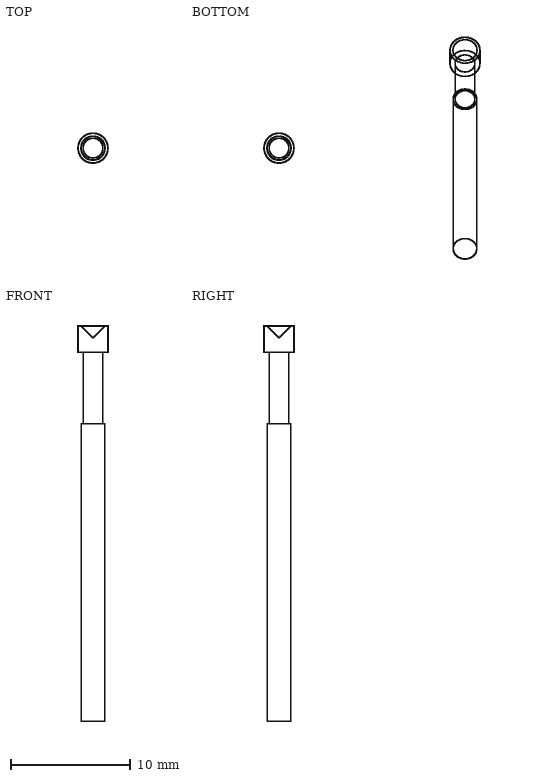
import cadquery as cq

total_length = 33.2
barrel_length = 25.0
head_height = 2.22
stem_length = total_length - barrel_length - head_height

barrel_diameter = 2.0
stem_diameter = 1.65
head_diameter = 2.52

cup_diameter = 2.03
cup_depth = cup_diameter / 2


def make_barrel():
    """Plain cylinder standing on the XY plane."""
    return cq.Workplane("XY").circle(barrel_diameter / 2).extrude(barrel_length)


def make_plunger():
    """Stem resting on the barrel, with a wider head hollowed by a conical cup."""
    stem_radius = stem_diameter / 2
    head_radius = head_diameter / 2
    head_bottom = barrel_length + stem_length
    half_profile = (
        cq.Workplane("XZ")
        .moveTo(0, barrel_length)
        .lineTo(stem_radius, barrel_length)
        .lineTo(stem_radius, head_bottom)
        .lineTo(head_radius, head_bottom)
        .lineTo(head_radius, total_length)
        .lineTo(cup_diameter / 2, total_length)
        .lineTo(0, total_length - cup_depth)
        .close()
    )
    return half_profile.revolve(360, (0, 0, 0), (0, 1, 0))


barrel = make_barrel()
plunger = make_plunger()

result = cq.Compound.makeCompound([barrel.val(), plunger.val()])